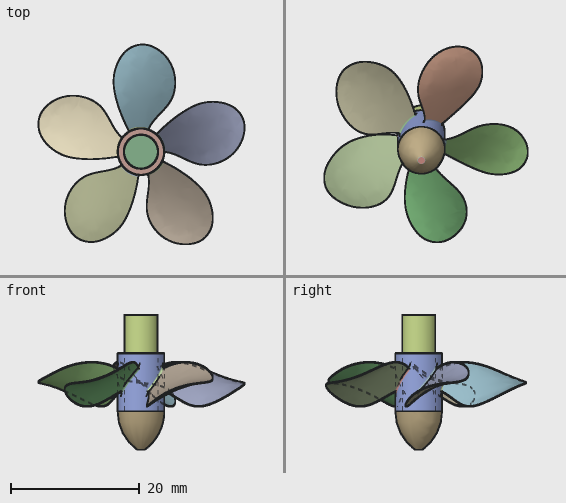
import math

import cadquery as cq

HUB_RADIUS = 3.65
HUB_LENGTH = 9.05
SHAFT_RADIUS = 2.6
SHAFT_TOP = 14.95
NOSE_LENGTH = 6.0
NOSE_TIP_RADIUS = 0.58
NOSE_TIP_FILLET = 0.1
HUB_CHAMFER = 0.1

BLADE_COUNT = 5
FIRST_BLADE_ANGLE = 90.0
BLADE_HEIGHT = 4.45
BLADE_THICKNESS = 0.15
ROOT_FILLET = 0.22
HUB_SEAM_OFFSET = 41.0

PEAK_RISE = 6.98
PEAK_RISE_RADIUS = 9.13
RISE_AT_HUB = 4.1
RISE_FALLOFF = (PEAK_RISE - RISE_AT_HUB) / (PEAK_RISE_RADIUS - HUB_RADIUS) ** 2

ROOT_RADIUS = 3.15
LEADING_EDGE = [
    (ROOT_RADIUS, 30.6),
    (4.8, 29.5),
    (7.2, 27.3),
    (9.6, 24.6),
    (12.0, 20.8),
    (14.4, 14.2),
    (16, 7.2),
]
BLADE_TIP = (16.65, -1.3)
TRAILING_EDGE = [
    (16, -10),
    (14.4, -18.8),
    (12.0, -26.4),
    (9.6, -30.2),
    (8, -29.6),
    (6.4, -26.2),
    (4.8, -21.3),
    (ROOT_RADIUS, -18.8),
]

SHEET_INNER_RADIUS = 2.88
SHEET_OUTER_RADIUS = 17.3
SHEET_HALF_ANGLE = 36.0
SHEET_STEPS = 18

SPLINE_TOLERANCE = 0.01
SURFACE_TOLERANCE = 0.003


def polar(radius, degrees, z=0.0):
    angle = math.radians(degrees)
    return cq.Vector(radius * math.cos(angle), radius * math.sin(angle), z)


def blade_rise(radius):
    return PEAK_RISE - RISE_FALLOFF * (radius - PEAK_RISE_RADIUS) ** 2


def sheet_point(radius, degrees):
    """Point on the underside of the blade, whose height grows along the arc at its radius."""
    middle = BLADE_HEIGHT + blade_rise(radius) * math.radians(degrees)
    return polar(radius, degrees, middle - BLADE_THICKNESS / 2)


def evenly_spaced(start, end, steps):
    return [start + (end - start) * i / steps for i in range(steps + 1)]


def make_sheet():
    radii = evenly_spaced(SHEET_INNER_RADIUS, SHEET_OUTER_RADIUS, SHEET_STEPS)
    angles = evenly_spaced(-SHEET_HALF_ANGLE, SHEET_HALF_ANGLE, SHEET_STEPS)
    grid = [[sheet_point(radius, angle) for angle in angles] for radius in radii]
    underside = cq.Face.makeSplineApprox(grid, tol=SPLINE_TOLERANCE)
    return cq.Workplane(cq.Solid.extrudeLinear(underside, cq.Vector(0, 0, BLADE_THICKNESS)))


def make_blade():
    edge_points = [polar(*point) for point in LEADING_EDGE + [BLADE_TIP] + TRAILING_EDGE]
    outline = cq.Workplane("XY").spline(edge_points).close().extrude(HUB_LENGTH)
    return make_sheet().intersect(outline)


def make_hub():
    hub = cq.Workplane("XY").circle(HUB_RADIUS).circle(SHAFT_RADIUS).extrude(HUB_LENGTH)
    hub = hub.faces(">Z").edges().chamfer(HUB_CHAMFER)
    return hub.rotate((0, 0, 0), (0, 0, 1), FIRST_BLADE_ANGLE + HUB_SEAM_OFFSET)


def is_root_edge(edge):
    """True for an edge where a blade leaves the hub: on the hub surface, but no full circle or seam."""
    middle = edge.positionAt(0.5)
    on_hub_surface = abs(math.hypot(middle.x, middle.y) - HUB_RADIUS) < SURFACE_TOLERANCE
    is_rim = edge.IsClosed()
    is_seam = edge.Length() > HUB_LENGTH - 2 * HUB_CHAMFER
    return on_hub_surface and not is_rim and not is_seam


def make_propeller():
    blade = make_blade()
    propeller = make_hub()
    for i in range(BLADE_COUNT):
        angle = FIRST_BLADE_ANGLE + i * 360 / BLADE_COUNT
        propeller = propeller.union(blade.rotate((0, 0, 0), (0, 0, 1), angle))
    root_edges = [edge for edge in propeller.edges().vals() if is_root_edge(edge)]
    return cq.Workplane(propeller.solids().val().fillet(ROOT_FILLET, root_edges))


def make_shaft():
    return cq.Workplane("XY").circle(SHAFT_RADIUS).extrude(SHAFT_TOP)


def make_nose():
    taper = HUB_RADIUS - NOSE_TIP_RADIUS
    arc_radius = (taper**2 + NOSE_LENGTH**2) / (2 * taper)
    half_depth = NOSE_LENGTH / 2
    arc_middle = HUB_RADIUS - arc_radius + math.sqrt(arc_radius**2 - half_depth**2)
    profile = (
        cq.Workplane("XZ")
        .lineTo(HUB_RADIUS, 0)
        .threePointArc((arc_middle, -half_depth), (NOSE_TIP_RADIUS, -NOSE_LENGTH))
        .lineTo(0, -NOSE_LENGTH)
        .close()
    )
    nose = profile.revolve(360, (0, 0, 0), (0, 1, 0))
    return nose.faces("<Z").edges().fillet(NOSE_TIP_FILLET)


propeller = make_propeller()
shaft = make_shaft()
nose = make_nose()

result = cq.Compound.makeCompound([*propeller.solids().vals(), shaft.val(), *nose.solids().vals()])